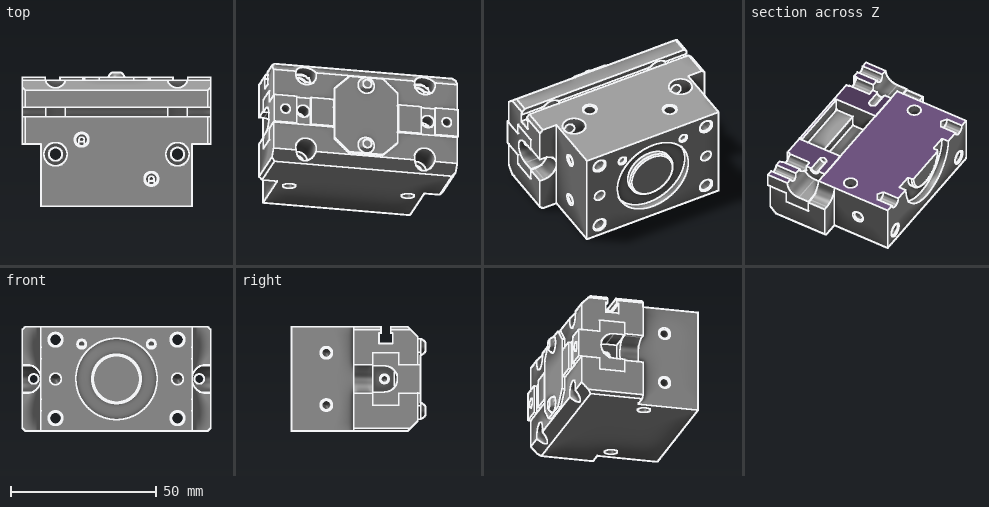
import cadquery as cq
import math


LENGTH = 65.0
HEIGHT = 36.0
BODY_LENGTH = 52.0
SHOULDER_Y = 21.5
BACK_Y = 43.5
BACK_CHAMFER = 3.5
END_CHAMFER = 1.1

NECK_HEIGHT = 9.8
HEAD_HEIGHT = 18.0
HEAD_FRONT_Y = 28.0
HEAD_BACK_Y = 37.0
JAW_LENGTH = 21.0
JAW_BACK_Y = 44.5
JAW_X = LENGTH / 2 - JAW_LENGTH / 2
KEYWAY_WIDTH = 5.0
POCKET_RADIUS = 4.5
POCKET_Y = 32.0
LOCATING_DIAMETER = 4.4
LOCATING_FLOOR_Y = 35.4
JAW_SCREW_X = 28.5
JAW_SCREW_DEPTH = 6.0

COVER_LENGTH = 22.2
COVER_HEIGHT = 27.8
COVER_CORNER_X = 5.1
COVER_CORNER_Z = 4.75
COVER_SCREW_Z = 11.0
BUTTON_RADIUS = 2.85
BUTTON_TOP_RADIUS = 1.5
BUTTON_HEIGHT = 1.65

GROOVE_Y = 32.5
GROOVE_NECK_WIDTH = 3.2
GROOVE_WIDTH = 4.65
GROOVE_LIP = 2.2
GROOVE_DEPTH = 5.75

RECESS_RADIUS = 14.0
RECESS_DEPTH = 2.5
BOSS_RADIUS = 8.5
BOSS_CHAMFER = 0.5
BOSS_SETBACK = 0.5

MOUNT_X = 21.0
MOUNT_Z = 13.5
BOLT_HEAD_DIAMETER = 7.3
DOWEL_DIAMETER = 4.0
DOWEL_DEPTH = 6.0
TOP_BOLT_Y = 18.0
TOP_BOLT_DIAMETER = 4.5
TOP_BOLT_HEAD_DIAMETER = 8.0
TOP_BOLT_HEAD_DEPTH = 7.0
SIDE_SCREW_Y = 12.0
SIDE_SCREW_Z = 9.0
SIDE_SCREW_DEPTH = 8.0

PORTS = [(-12.0, 23.0), (12.0, 9.5)]
PORT_DEPTH = 6.8
PURGE_Z = 12.0
WELL_DIAMETER = 1.8
WELL_DEPTH = 0.35

M3 = (2.5, 3.2)
M4 = (3.3, 4.2)
M5 = (4.2, 5.0)

DRILL_TIP_ANGLE = 118.0
X_AXIS = cq.Vector(1, 0, 0)
Y_AXIS = cq.Vector(0, 1, 0)
DOWN = cq.Vector(0, 0, -1)


def cylinder(start, direction, diameter, depth):
    return cq.Workplane(cq.Solid.makeCylinder(diameter / 2, depth, cq.Vector(*start), direction))


def drilled(start, direction, diameter, depth):
    """Blind hole with a conical drill tip beyond its full depth."""
    radius = diameter / 2
    tip_length = radius / math.tan(math.radians(DRILL_TIP_ANGLE / 2))
    tip_start = cq.Vector(*start) + direction * depth
    tip = cq.Solid.makeCone(radius, 0, tip_length, tip_start, direction)
    return cylinder(start, direction, diameter, depth).union(cq.Workplane(tip))


def countersink(start, direction, thread):
    core, mouth = thread
    depth = (mouth - core) / 2
    return cq.Workplane(cq.Solid.makeCone(mouth / 2, core / 2, depth, cq.Vector(*start), direction))


def box(x_range, y_range, z_range):
    sizes = [end - start for start, end in (x_range, y_range, z_range)]
    corner = (x_range[0], y_range[0], z_range[0])
    return cq.Workplane("XY").box(*sizes, centered=False).translate(corner)


def t_profile(length, back_y):
    """T-shaped bar centred on X = 0, its neck ending at back_y."""
    half = length / 2
    head = box((-half, half), (HEAD_FRONT_Y, HEAD_BACK_Y), (-HEAD_HEIGHT / 2, HEAD_HEIGHT / 2))
    neck = box((-half, half), (HEAD_BACK_Y, back_y), (-NECK_HEIGHT / 2, NECK_HEIGHT / 2))
    return head.union(neck)


def make_blank():
    body = box((-BODY_LENGTH / 2, BODY_LENGTH / 2), (0, SHOULDER_Y), (-HEIGHT / 2, HEIGHT / 2))
    rear = box((-LENGTH / 2, LENGTH / 2), (SHOULDER_Y, BACK_Y), (-HEIGHT / 2, HEIGHT / 2))
    rear = rear.edges("|X and >Y").chamfer(BACK_CHAMFER)
    outline = cq.Workplane("XZ").rect(LENGTH, HEIGHT).extrude(-BACK_Y)
    rear = rear.intersect(outline.edges("|Y").chamfer(END_CHAMFER))
    return body.union(rear)


def make_cover():
    half_x = COVER_LENGTH / 2
    half_z = COVER_HEIGHT / 2
    flat_x = half_x - COVER_CORNER_X
    flat_z = half_z - COVER_CORNER_Z
    outline = [(-half_x, -flat_z), (-flat_x, -half_z), (flat_x, -half_z), (half_x, -flat_z),
               (half_x, flat_z), (flat_x, half_z), (-flat_x, half_z), (-half_x, flat_z)]
    cover = cq.Workplane("XZ", origin=(0, BACK_Y, 0)).polyline(outline).close()
    cover = cover.extrude(BACK_Y - JAW_BACK_Y)
    for side in (-1, 1):
        cover = cover.union(make_button_head().translate((0, JAW_BACK_Y, side * COVER_SCREW_Z)))
    return cover


def make_button_head():
    """Domed screw head with a flat top, its axis along Y."""
    offset = (BUTTON_RADIUS**2 - BUTTON_TOP_RADIUS**2 - BUTTON_HEIGHT**2) / (2 * BUTTON_HEIGHT)
    sphere_radius = math.hypot(BUTTON_RADIUS, offset)
    middle_height = BUTTON_HEIGHT / 2
    middle_radius = math.sqrt(sphere_radius**2 - (middle_height + offset) ** 2)
    half_section = (
        cq.Workplane("XY")
        .lineTo(BUTTON_RADIUS, 0)
        .threePointArc((middle_radius, middle_height), (BUTTON_TOP_RADIUS, BUTTON_HEIGHT))
        .lineTo(0, BUTTON_HEIGHT)
        .close()
    )
    return half_section.revolve(360, (0, 0, 0), (0, 1, 0))


def sensor_groove():
    top = HEIGHT / 2
    half_neck = GROOVE_NECK_WIDTH / 2
    half_width = GROOVE_WIDTH / 2
    x_range = (-LENGTH / 2, LENGTH / 2)
    neck = box(x_range, (GROOVE_Y - half_neck, GROOVE_Y + half_neck), (top - GROOVE_LIP, top))
    channel = box(x_range, (GROOVE_Y - half_width, GROOVE_Y + half_width),
                  (top - GROOVE_DEPTH, top - GROOVE_LIP))
    return neck.union(channel)


def front_recess():
    """Round recess minus the chamfered boss that stands in it."""
    recess = cylinder((0, 0, 0), Y_AXIS, 2 * RECESS_RADIUS, RECESS_DEPTH)
    boss = cylinder((0, BOSS_SETBACK, 0), Y_AXIS, 2 * BOSS_RADIUS, RECESS_DEPTH - BOSS_SETBACK)
    return recess.cut(boss.faces("<Y").chamfer(BOSS_CHAMFER))


def wing_notch(side):
    """Round-ended notch through a wing, giving access to the jaw."""
    radius = NECK_HEIGHT / 2
    centre_x = side * (BODY_LENGTH / 2 + radius)
    depth = HEAD_FRONT_Y - SHOULDER_Y
    x_range = sorted((centre_x, side * LENGTH / 2))
    straight = box(x_range, (SHOULDER_Y, HEAD_FRONT_Y), (-radius, radius))
    return straight.union(cylinder((centre_x, SHOULDER_Y, 0), Y_AXIS, NECK_HEIGHT, depth))


def corner_hole(x, z):
    """Hole along Y, threaded at the front and counterbored from the back."""
    head_floor = GROOVE_Y - GROOVE_WIDTH / 2
    hole = cylinder((x, 0, z), Y_AXIS, M5[0], BACK_Y)
    hole = hole.union(cylinder((x, head_floor, z), Y_AXIS, BOLT_HEAD_DIAMETER, BACK_Y - head_floor))
    return hole.union(countersink((x, 0, z), Y_AXIS, M5))


def top_bolt_hole(x):
    start = (x, TOP_BOLT_Y, HEIGHT / 2)
    hole = cylinder(start, DOWN, TOP_BOLT_DIAMETER, HEIGHT)
    return hole.union(cylinder(start, DOWN, TOP_BOLT_HEAD_DIAMETER, TOP_BOLT_HEAD_DEPTH))


def side_screw_hole(side, z):
    start = (side * BODY_LENGTH / 2, SIDE_SCREW_Y, z)
    hole = drilled(start, X_AXIS * -side, M4[0], SIDE_SCREW_DEPTH)
    return hole.union(countersink(start, X_AXIS * -side, M4))


def air_port(x, y):
    top = (x, y, HEIGHT / 2)
    floor = (x, y, HEIGHT / 2 - PORT_DEPTH)
    front = (x, 0, PURGE_Z)
    port = cylinder(top, DOWN, M5[0], PORT_DEPTH).union(countersink(top, DOWN, M5))
    well = drilled(floor, DOWN, WELL_DIAMETER, WELL_DEPTH)
    purge = cylinder(front, Y_AXIS, M3[0], y).union(countersink(front, Y_AXIS, M3))
    return port.union(well).union(purge)


def make_housing():
    housing = make_blank().cut(t_profile(LENGTH, BACK_Y)).union(make_cover())
    housing = housing.cut(sensor_groove()).cut(front_recess())
    for side in (-1, 1):
        x = side * MOUNT_X
        housing = housing.cut(wing_notch(side)).cut(top_bolt_hole(x))
        housing = housing.cut(drilled((x, 0, 0), Y_AXIS, DOWEL_DIAMETER, DOWEL_DEPTH))
        for end in (-1, 1):
            housing = housing.cut(corner_hole(x, end * MOUNT_Z))
            housing = housing.cut(side_screw_hole(side, end * SIDE_SCREW_Z))
    for x, y in PORTS:
        housing = housing.cut(air_port(x, y))
    return housing


def jaw_pocket(side):
    """U-shaped pocket from the outer end to the middle of the jaw, open to the front."""
    x_range = sorted((side * JAW_X, side * LENGTH / 2))
    depth = x_range[1] - x_range[0]
    straight = box(x_range, (HEAD_FRONT_Y, POCKET_Y), (-POCKET_RADIUS, POCKET_RADIUS))
    return straight.union(cylinder((x_range[0], POCKET_Y, 0), X_AXIS, 2 * POCKET_RADIUS, depth))


def make_jaw(side):
    x = side * JAW_X
    jaw = t_profile(JAW_LENGTH, JAW_BACK_Y).translate((x, 0, 0))
    jaw = jaw.cut(box((x - KEYWAY_WIDTH / 2, x + KEYWAY_WIDTH / 2), (BACK_Y, JAW_BACK_Y),
                      (-NECK_HEIGHT / 2, NECK_HEIGHT / 2)))
    jaw = jaw.cut(jaw_pocket(side))
    jaw = jaw.cut(cylinder((side * JAW_SCREW_X, POCKET_Y, 0), Y_AXIS, M4[0], JAW_BACK_Y - POCKET_Y))
    jaw = jaw.cut(cylinder((x, LOCATING_FLOOR_Y, 0), Y_AXIS, LOCATING_DIAMETER,
                           JAW_BACK_Y - LOCATING_FLOOR_Y))
    pocket_end = (x, POCKET_Y, 0)
    jaw = jaw.cut(drilled(pocket_end, X_AXIS * -side, M3[0], JAW_SCREW_DEPTH))
    return jaw.cut(countersink(pocket_end, X_AXIS * -side, M3))


housing = make_housing()
jaws = [make_jaw(side) for side in (-1, 1)]

result = cq.Compound.makeCompound([housing.solids().val(), *[jaw.solids().val() for jaw in jaws]])